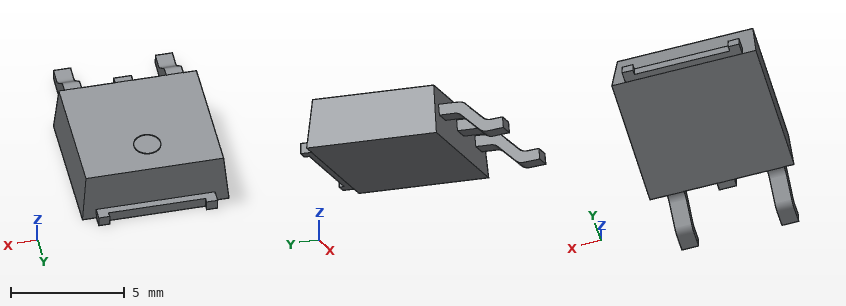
import cadquery as cq
import math

housing_width = 6.6
housing_length = 6.1
housing_height = 2.3
draft_angle = 5.0
mark_diameter = 1.2
mark_y = 1.26
mark_depth = 0.04

tab_width = 5.36
tab_thickness = 0.48
tab_end_y = 3.56
notch_width = 4.36
notch_depth = 0.23

lead_top_z = 1.525
lead_thickness = 0.505
outer_lead_width = 0.77
outer_lead_x = (tab_width - outer_lead_width) / 2
lead_tip_y = -5.97
upper_bend_y = -4.05
lower_bend_y = -5.17
slope_angle = 42.0
foot_angle = 5.0
bend_radius = 0.48
middle_lead_width = 0.8
middle_lead_end_y = -3.99
middle_end_setback = 0.06


def tangent(angle):
    return math.tan(math.radians(angle))


def face_y(z):
    """Distance of the drafted end faces from the housing centre at height z."""
    return housing_length / 2 - z * tangent(draft_angle)


def side_profile(points, width):
    """Extrude a Y-Z outline across X, centred on X = 0."""
    return cq.Workplane("YZ").polyline(points).close().extrude(width / 2, both=True)


def make_housing():
    block = (
        cq.Workplane("XY")
        .rect(housing_width, housing_length)
        .extrude(housing_height, taper=draft_angle)
    )
    mark = (
        cq.Workplane("XY", origin=(0, mark_y, housing_height - mark_depth))
        .circle(mark_diameter / 2)
        .extrude(mark_depth)
    )
    return block.cut(mark)


def make_tab():
    plate = side_profile(
        [
            (face_y(0), 0),
            (tab_end_y, 0),
            (tab_end_y, tab_thickness),
            (face_y(tab_thickness), tab_thickness),
        ],
        tab_width,
    )
    notch = (
        cq.Workplane("XY")
        .center(0, tab_end_y - notch_depth / 2)
        .rect(notch_width, notch_depth)
        .extrude(tab_thickness)
    )
    return plate.cut(notch)


def across_lead(point, angle_before, angle_after):
    """Underside point opposite a top point where the downward slope angle changes."""
    lean = math.radians((angle_before + angle_after) / 2)
    reach = lead_thickness / math.cos(math.radians((angle_after - angle_before) / 2))
    return (point[0] + reach * math.sin(lean), point[1] - reach * math.cos(lean))


def make_outer_lead(x):
    """Flat shoulder, downward slope and slightly upturned foot."""
    root_top = (-face_y(lead_top_z), lead_top_z)
    root_z = lead_top_z - lead_thickness
    root_bottom = (-face_y(root_z), root_z)

    upper_top = (upper_bend_y, lead_top_z)
    lower_z = lead_top_z - (upper_bend_y - lower_bend_y) * tangent(slope_angle)
    lower_top = (lower_bend_y, lower_z)
    tip_y = lead_tip_y + lead_thickness * math.sin(math.radians(foot_angle))
    tip_top = (tip_y, lower_z + (lower_bend_y - tip_y) * tangent(foot_angle))

    upper_bottom = across_lead(upper_top, 0, slope_angle)
    lower_bottom = across_lead(lower_top, slope_angle, -foot_angle)
    tip_bottom = across_lead(tip_top, -foot_angle, -foot_angle)

    lead = side_profile(
        [root_top, upper_top, lower_top, tip_top, tip_bottom, lower_bottom, upper_bottom, root_bottom],
        outer_lead_width,
    )
    for bend_y, bend_z in (upper_top, lower_top, lower_bottom, upper_bottom):
        bend_edge = cq.selectors.NearestToPointSelector((0, bend_y, bend_z))
        lead = lead.edges("|X").edges(bend_edge).fillet(bend_radius)
    return lead.translate((x, 0, 0))


def make_middle_lead():
    bottom_z = lead_top_z - lead_thickness
    return side_profile(
        [
            (-face_y(lead_top_z), lead_top_z),
            (middle_lead_end_y + middle_end_setback, lead_top_z),
            (middle_lead_end_y, bottom_z),
            (-face_y(bottom_z), bottom_z),
        ],
        middle_lead_width,
    )


housing = make_housing()
tab = make_tab()
middle_lead = make_middle_lead()
outer_leads = [make_outer_lead(side * outer_lead_x) for side in (-1, 1)]

result = cq.Compound.makeCompound(
    [housing.val(), tab.val(), middle_lead.val(), *[lead.val() for lead in outer_leads]]
)